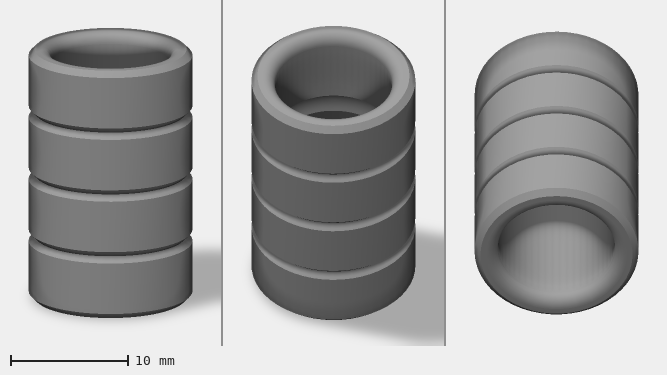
import cadquery as cq

height = 22.0
outer_diameter = 14.0
bore_diameter = 10.0
ring_count = 4
ring_height = height / ring_count

ring_chamfer = 0.5
mouth_radius = 1.0

groove_radius = 0.85
groove_top = 15.4

bore_radius = bore_diameter / 2


def make_ring(index):
    """One ring of the stack; neighbouring chamfers form a V groove."""
    ring = cq.Workplane("XY").circle(outer_diameter / 2).extrude(ring_height)
    ring = ring.faces("<Z or >Z").edges().chamfer(ring_chamfer)
    return ring.translate((0, 0, index * ring_height))


def make_bore_groove():
    """Torus centred on the bore wall, so half of its section cuts the wall."""
    groove_height = groove_top - groove_radius
    torus = cq.Solid.makeTorus(bore_radius, groove_radius)
    return cq.Workplane(torus.translate(cq.Vector(0, 0, groove_height)))


body = make_ring(0)
for ring_index in range(1, ring_count):
    body = body.union(make_ring(ring_index))

bore = cq.Workplane("XY").circle(bore_radius).extrude(height)
body = body.cut(bore)
mouth_edges = cq.selectors.RadiusNthSelector(0)
body = body.faces("<Z or >Z").edges(mouth_edges).fillet(mouth_radius)

result = body.cut(make_bore_groove())